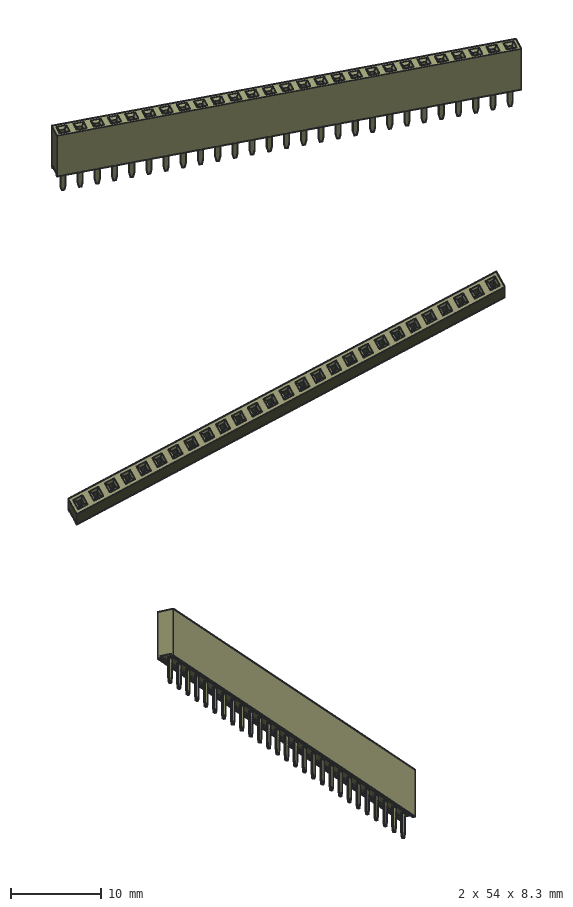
import cadquery as cq

pin_count = 27
body_length = 54.0
body_width = 2.0
total_height = 8.3
body_height = 5.6
pitch = body_length / pin_count

channel_width = 1.35
channel_depth = 0.25

mouth_size = 1.2
slot_size = 0.6
lead_in_depth = 0.295
slot_depth = 3.25

pin_width = slot_size
pin_thickness = 0.19
tip_width = 0.295
tip_length = 0.6
pin_rise_in_slot = 0.55

body_top = total_height
body_bottom = body_top - body_height
slot_floor = body_top - slot_depth
pin_top = slot_floor + pin_rise_in_slot
stations = [(0, (i - (pin_count - 1) / 2) * pitch) for i in range(pin_count)]


def make_body():
    block = cq.Workplane("XY", origin=(0, 0, body_bottom)).box(
        body_width, body_length, body_height, centered=(True, True, False)
    )
    channel = cq.Workplane("XY", origin=(0, 0, body_bottom)).box(
        channel_width, body_length, channel_depth, centered=(True, True, False)
    )
    return block.cut(channel)


def make_socket():
    """Cavity of one socket: a pyramid-shaped mouth above a square slot."""
    mouth = (
        cq.Workplane("XY", origin=(0, 0, body_top))
        .rect(mouth_size, mouth_size)
        .workplane(offset=-lead_in_depth)
        .rect(slot_size, slot_size)
        .loft(ruled=True)
    )
    slot = cq.Workplane("XY", origin=(0, 0, slot_floor)).box(
        slot_size, slot_size, slot_depth - lead_in_depth, centered=(True, True, False)
    )
    return mouth.union(slot)


def make_pin():
    """One flat pin, narrowing along Y towards its tip."""
    half_width = pin_width / 2
    half_tip = tip_width / 2
    outline = [
        (-half_tip, 0),
        (half_tip, 0),
        (half_width, tip_length),
        (half_width, pin_top),
        (-half_width, pin_top),
        (-half_width, tip_length),
    ]
    return cq.Workplane("YZ").polyline(outline).close().extrude(pin_thickness / 2, both=True)


def at_stations(shape):
    return cq.Workplane("XY").pushPoints(stations).eachpoint(
        lambda location: shape.val().moved(location)
    )


sockets = at_stations(make_socket())
pins = at_stations(make_pin())
result = make_body().cut(sockets).union(pins)